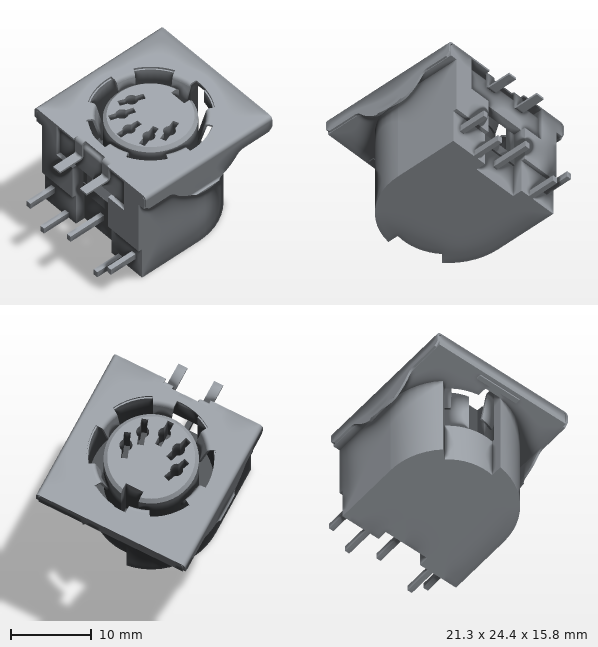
import cadquery as cq
import math


total_height = 15.75
sheet = 0.3
bend_in = 0.27
bend_out = bend_in + sheet
front_y = -9.95
back_y = 10.9
pin_tip_y = -13.48
body_top = total_height - sheet

body_radius = 9.02
flange_half_width = 10.02
flange_depth = 2.3
flange_bottom = total_height - flange_depth
flange_edge_chamfer = 0.3
corner_chamfer = 0.54
base_step = 0.55
base_step_top = 5.07
rear_rib_y = (9.68, 10.35)
rear_rib_half_width = 3.12
rear_rib_drop = 0.2

cavity_radius = 7.8
cavity_floor = 6.6
insert_radius = 5.9
insert_chamfer = 0.46
key_half_width = 1.22
key_bottom_y = 4.45
base_radius = 7.44
rear_gap_angle = 45

contact_radius = 3.54
contact_hole_radius = 0.8
contact_slot_width = 0.85
contact_slot_length = 3.44
contact_depth = 4.88
outer_tilt = 20.5
inner_tilt = 18.0
contacts = [(180, -outer_tilt), (225, -inner_tilt), (270, 0), (315, inner_tilt), (0, outer_tilt)]

recess_half_width = 6.31
recess_y = -9.31
recess_bottom = 10.34
bar_round_z = 14.26
channel_half_width = 3.3
channel_y = -8.12
ledge_y = -8.25
base_channel_y = -7.97
window_half_width = 2.65

shield_width = 20.75
shield_half_width = shield_width / 2
opening_radius = 8.0
finger_radius = 7.44
finger_pitch = 60
finger_first_angle = 45
finger_wedge = 30
finger_apex = 2.07
finger_end_radius = insert_radius
finger_end_z = 11.7
lip_arc_radius = 6.63
lip_bottom = 10.55
spring_half_width = 6.2

tab_x = 2.49
tab_width = 1.27
tab_notch_y = -9.12
tab_foot_top = 13.1
tab_tip_y = -13.3
pin_width = 0.68
pin_height = 0.9
pins = [(-7.5, 2.45), (0, 2.45), (7.5, 2.45), (-4.97, 0), (4.97, 0)]


def box(x0, x1, y0, y1, z0, z1):
    """Box between two opposite corners."""
    return cq.Workplane("XY").box(x1 - x0, y1 - y0, z1 - z0, centered=False).translate((x0, y0, z0))


def cylinder(radius, z0, z1):
    """Cylinder on the socket axis."""
    return cq.Workplane("XY").workplane(offset=z0).circle(radius).extrude(z1 - z0)


def polar(radius, angle):
    """Point at an angle in degrees."""
    return (radius * math.cos(math.radians(angle)), radius * math.sin(math.radians(angle)))


def make_body():
    """D-shaped block with a rectangular top flange and a set-back base."""
    block = (
        cq.Workplane("XY")
        .moveTo(-body_radius, front_y)
        .lineTo(body_radius, front_y)
        .lineTo(body_radius, 0)
        .threePointArc((0, body_radius), (-body_radius, 0))
        .close()
        .extrude(body_top)
    )
    flange = box(-flange_half_width, flange_half_width, front_y, back_y, flange_bottom, body_top)
    flange = flange.edges("|Y and >Z").chamfer(flange_edge_chamfer)
    step = box(-body_radius, body_radius, front_y, front_y + base_step, 0, base_step_top)
    rib_bottom = flange_bottom - rear_rib_drop
    rib = box(-rear_rib_half_width, rear_rib_half_width, *rear_rib_y, rib_bottom, flange_bottom)
    return block.union(flange).cut(step).union(rib)


def cut_front(body):
    """Recess with a round-topped bar behind the tabs, the channel below it and the cavity window."""
    recess = box(-recess_half_width, recess_half_width, front_y, recess_y, recess_bottom, body_top)
    bar_radius = (channel_y - recess_y) / 2
    corner = box(-recess_half_width, recess_half_width, recess_y, channel_y, bar_round_z, body_top)
    rod = (
        cq.Workplane("YZ", origin=(-recess_half_width, recess_y + bar_radius, bar_round_z))
        .circle(bar_radius)
        .extrude(2 * recess_half_width)
    )
    body = body.cut(recess).cut(corner.cut(rod))

    channel_steps = [
        (base_channel_y, 0, base_step_top),
        (ledge_y, base_step_top, cavity_floor),
        (channel_y, cavity_floor, recess_bottom),
    ]
    for face_y, z0, z1 in channel_steps:
        body = body.cut(box(-channel_half_width, channel_half_width, front_y, face_y, z0, z1))
    window = box(-window_half_width, window_half_width, channel_y, -insert_radius, cavity_floor, body_top)
    return body.cut(window)


def cut_cavity(body):
    """Ring-shaped cavity, the key opening and the open rear wall below the flange."""
    body = body.cut(cylinder(cavity_radius, cavity_floor, body_top))
    core = cylinder(base_radius, 0, body_top)
    key = box(-key_half_width, key_half_width, base_radius, body_radius, 0, body_top).cut(core)
    reach = 2 * body_radius
    sector = (
        cq.Workplane("XY")
        .polyline([(-key_half_width, 0), polar(reach, rear_gap_angle), (-key_half_width, reach)])
        .close()
        .extrude(flange_bottom)
    )
    rear_gap = cylinder(body_radius, 0, flange_bottom).cut(core).intersect(sector)
    return body.cut(key).cut(rear_gap)


def make_insert():
    """Round plug face with a key notch and five contact slots."""
    insert = cylinder(insert_radius, cavity_floor, body_top).faces(">Z").edges().chamfer(insert_chamfer)
    insert = insert.cut(
        box(-key_half_width, key_half_width, key_bottom_y, insert_radius, cavity_floor, body_top)
    )
    for angle, tilt in contacts:
        slot = (
            cq.Workplane("XY")
            .rect(contact_slot_width, contact_slot_length)
            .extrude(contact_depth)
            .union(cq.Workplane("XY").circle(contact_hole_radius).extrude(contact_depth))
            .rotate((0, 0, 0), (0, 0, 1), tilt)
        )
        insert = insert.cut(slot.translate((*polar(contact_radius, angle), body_top - contact_depth)))
    return insert


def make_side_flange():
    """Right-hand shield flange with its curved spring and out-turned lip."""
    outer = shield_half_width
    inner = outer - sheet
    top_x = outer - bend_out
    top_z = total_height - bend_out
    lip_x = outer + bend_in
    lip_z = lip_bottom + bend_out
    top_out = polar(bend_out, 45)
    top_in = polar(bend_in, 45)
    section = (
        cq.Workplane("XZ", origin=(0, back_y, 0))
        .moveTo(top_x, total_height)
        .threePointArc((top_x + top_out[0], top_z + top_out[1]), (outer, top_z))
        .lineTo(outer, lip_z)
        .threePointArc((lip_x - top_in[0], lip_z - top_in[1]), (lip_x, lip_z - bend_in))
        .lineTo(lip_x, lip_bottom)
        .threePointArc((lip_x - top_out[0], lip_z - top_out[1]), (inner, lip_z))
        .lineTo(inner, top_z)
        .threePointArc((top_x + top_in[0], top_z + top_in[1]), (top_x, body_top))
        .close()
        .extrude(back_y - front_y)
    )

    arc_z = lip_bottom + lip_arc_radius
    rise = arc_z - flange_bottom
    blend = (spring_half_width**2 + rise**2 - lip_arc_radius**2) / (2 * (lip_arc_radius - rise))
    blend_z = flange_bottom - blend
    slope = math.atan2(spring_half_width, arc_z - blend_z)
    meet_y = lip_arc_radius * math.sin(slope)
    meet_z = arc_z - lip_arc_radius * math.cos(slope)
    mid_y = spring_half_width - blend * math.sin(slope / 2)
    mid_z = blend_z + blend * math.cos(slope / 2)
    outline = (
        cq.Workplane("YZ")
        .moveTo(front_y, total_height)
        .lineTo(front_y, flange_bottom + corner_chamfer)
        .lineTo(front_y + corner_chamfer, flange_bottom)
        .lineTo(-spring_half_width, flange_bottom)
        .threePointArc((-mid_y, mid_z), (-meet_y, meet_z))
        .threePointArc((0, lip_bottom), (meet_y, meet_z))
        .threePointArc((mid_y, mid_z), (spring_half_width, flange_bottom))
        .lineTo(back_y - corner_chamfer, flange_bottom)
        .lineTo(back_y, flange_bottom + corner_chamfer)
        .lineTo(back_y, total_height)
        .close()
        .extrude(lip_x)
    )
    return section.intersect(outline)


def finger_wedges():
    """Six wedges that bound the fingers around the opening."""
    reach = 2 * opening_radius
    half_width = (reach - finger_apex) * math.tan(math.radians(finger_wedge / 2))
    wedge = (
        cq.Workplane("XY")
        .polyline([(finger_apex, 0), (reach, half_width), (reach, -half_width)])
        .close()
        .extrude(total_height)
    )
    wedges = cq.Workplane("XY")
    for angle in range(finger_first_angle, finger_first_angle + 360, finger_pitch):
        wedges = wedges.union(wedge.rotate((0, 0, 0), (0, 0, 1), angle))
    return wedges


def make_fingers():
    """Contact fingers that bend down from the shield and lean towards the insert."""
    centre_z = total_height - bend_out
    lean = math.atan2(finger_radius - bend_out - finger_end_radius, centre_z - finger_end_z)
    half_turn = (math.pi / 2 + lean) / 2

    def on_bend(radius, angle):
        """Point on the finger bend, turning from the finger up to the sheet."""
        return (finger_radius - radius * math.cos(angle), centre_z + radius * math.sin(angle))

    end_in = (finger_end_radius, finger_end_z)
    end_out = (finger_end_radius + sheet * math.cos(lean), finger_end_z - sheet * math.sin(lean))
    ring = (
        cq.Workplane("XZ")
        .moveTo(opening_radius, total_height)
        .lineTo(finger_radius, total_height)
        .threePointArc(on_bend(bend_out, half_turn), on_bend(bend_out, lean))
        .lineTo(*end_in)
        .lineTo(*end_out)
        .lineTo(*on_bend(bend_in, lean))
        .threePointArc(on_bend(bend_in, half_turn), (finger_radius, body_top))
        .lineTo(opening_radius, body_top)
        .close()
        .revolve(360, (0, 0, 0), (0, 1, 0))
    )
    return ring.intersect(finger_wedges())


def make_tab():
    """Solder tab bent down from the shield front and then forward, centred on X = 0."""
    outer = tab_notch_y - bend_out
    inner = outer + sheet
    top_z = total_height - bend_out
    foot_y = outer - bend_in
    foot_z = tab_foot_top + bend_in
    large = polar(bend_out, 45)
    small = polar(bend_in, 45)
    return (
        cq.Workplane("YZ", origin=(-tab_width / 2, 0, 0))
        .moveTo(tab_notch_y, total_height)
        .threePointArc((tab_notch_y - large[0], top_z + large[1]), (outer, top_z))
        .lineTo(outer, foot_z)
        .threePointArc((foot_y + small[0], foot_z - small[1]), (foot_y, tab_foot_top))
        .lineTo(tab_tip_y, tab_foot_top)
        .lineTo(tab_tip_y, tab_foot_top - sheet)
        .lineTo(foot_y, tab_foot_top - sheet)
        .threePointArc((foot_y + large[0], foot_z - large[1]), (inner, foot_z))
        .lineTo(inner, top_z)
        .threePointArc((tab_notch_y - small[0], top_z + small[1]), (tab_notch_y, body_top))
        .close()
        .extrude(tab_width)
    )


def make_shield():
    """Top sheet with its round opening, fingers, side flanges and solder tabs."""
    plate_half = shield_half_width - bend_out
    notch_half = tab_x + tab_width / 2
    shield = box(-plate_half, plate_half, front_y, back_y, body_top, total_height)
    shield = shield.cut(box(-notch_half, notch_half, front_y, tab_notch_y, body_top, total_height))
    shield = shield.cut(cylinder(opening_radius, body_top, total_height)).union(make_fingers())
    side = make_side_flange()
    shield = shield.union(side).union(side.mirror("YZ"))
    for x in (-tab_x, tab_x):
        shield = shield.union(make_tab().translate((x, 0, 0)))
    return shield


def make_pins():
    """Straight solder pins that leave the base forward."""
    bars = cq.Workplane("XY")
    for x, z in pins:
        bars = bars.union(
            box(x - pin_width / 2, x + pin_width / 2, pin_tip_y, base_channel_y, z, z + pin_height)
        )
    return bars


socket = cut_cavity(cut_front(make_body()))
result = socket.union(make_insert()).union(make_pins()).union(make_shield())